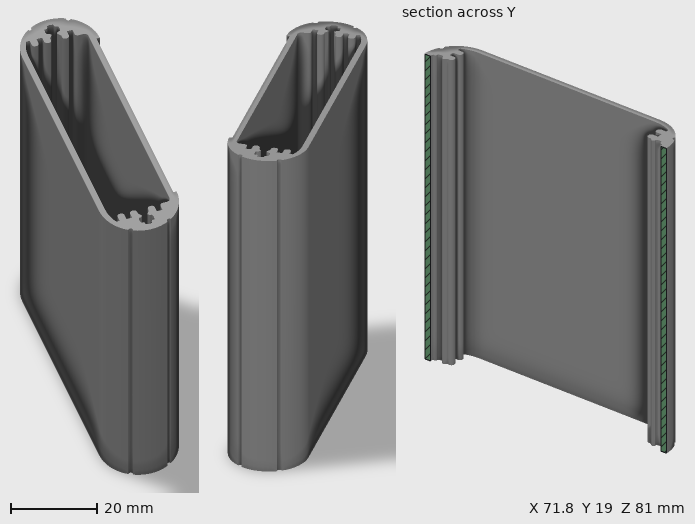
import cadquery as cq
import math

width = 71.8
depth = 19.0
length = 81.0
wall = 1.45
lid_recess = 0.8

outer_radius = depth / 2
arc_center_x = width / 2 - outer_radius
cavity_floor_y = wall - outer_radius
recess_floor_y = outer_radius - lid_recess
cavity_top_y = recess_floor_y - wall

rib_tip_x = 28.75
slot_floor_x = 30.9
slot_center_y = 3.7
slot_width = 1.4
rib_width = 1.7
rib_rounding = 0.7
cavity_corner_radius = 1.0
middle_rib_inner_y = slot_center_y - slot_width / 2 - rib_width

screw_x = 32.3
screw_core_radius = 1.4
screw_relief_radius = 1.8
relief_width = 1.6
mouth_throat_x = 30.95
mouth_throat_width = 1.4
mouth_flare_x = 30.05

groove_angle = math.radians(30)
groove_radius = 0.6

SIDES = (-1, 1)


def box(x_range, y_range):
    """Full-length block spanning two corners in plan; the corners may come in any order."""
    x_size = abs(x_range[1] - x_range[0])
    y_size = abs(y_range[1] - y_range[0])
    return (
        cq.Workplane("XY")
        .center(sum(x_range) / 2, sum(y_range) / 2)
        .rect(x_size, y_size)
        .extrude(length)
    )


def cylinder(center_x, center_y, radius):
    """Full-length round bar."""
    return cq.Workplane("XY").center(center_x, center_y).circle(radius).extrude(length)


def oblong():
    """Full-length solid oblong with the tube's outer size."""
    return cq.Workplane("XY").slot2D(width, depth).extrude(length)


def tip_selector(side):
    """Selector for the end face nearest the middle of the tube."""
    return "<X" if side > 0 else ">X"


def rib(side, low_y):
    """Guide rib with a rounded tip, rising from the slot floor."""
    block = box((side * rib_tip_x, side * slot_floor_x), (low_y, low_y + rib_width))
    return block.faces(tip_selector(side)).edges("|Z").fillet(rib_rounding)


def corner_pad(side):
    """Solid shoulder between the upper card slot and the recessed wall."""
    low_y = slot_center_y + slot_width / 2
    block = box((side * rib_tip_x, side * slot_floor_x), (low_y, outer_radius))
    return block.faces(tip_selector(side)).edges("|Z and <Y").fillet(rib_rounding)


def mouth_web(side):
    """Material joining the roots of the two middle ribs, where the screw channel opens."""
    x_range = (side * mouth_flare_x, side * slot_floor_x)
    return box(x_range, (-middle_rib_inner_y, middle_rib_inner_y))


def cavity():
    """Main hollow: its floor is the outer curve raised by the wall thickness."""
    hollow = oblong().translate((0, wall, 0)).intersect(
        box((-slot_floor_x, slot_floor_x), (cavity_floor_y, cavity_top_y))
    )
    rib_low_sides = (
        middle_rib_inner_y,
        -middle_rib_inner_y - rib_width,
        -slot_center_y - slot_width / 2 - rib_width,
    )
    for side in SIDES:
        hollow = hollow.cut(corner_pad(side))
        hollow = hollow.cut(mouth_web(side))
        for low_y in rib_low_sides:
            hollow = hollow.cut(rib(side, low_y))
    return hollow.faces(">Y").edges("|Z").fillet(cavity_corner_radius)


def screw_channel(side):
    """Round core with relief grooves on three sides and a flared mouth into the cavity."""
    center_x = side * screw_x
    relief_half = relief_width / 2
    throat_half = mouth_throat_width / 2

    rim = cylinder(center_x, 0, screw_relief_radius)
    outward = box((center_x, side * (screw_x + screw_relief_radius)), (-relief_half, relief_half))
    sideways = box(
        (center_x - relief_half, center_x + relief_half),
        (-screw_relief_radius, screw_relief_radius),
    )
    reliefs = rim.intersect(outward.union(sideways))

    core = cylinder(center_x, 0, screw_core_radius)
    mouth = (
        cq.Workplane("XY")
        .moveTo(center_x, -throat_half)
        .lineTo(side * mouth_throat_x, -throat_half)
        .lineTo(side * mouth_flare_x, -middle_rib_inner_y)
        .lineTo(side * mouth_flare_x, middle_rib_inner_y)
        .lineTo(side * mouth_throat_x, throat_half)
        .lineTo(center_x, throat_half)
        .close()
        .extrude(length)
    )
    return core.union(reliefs).union(mouth)


def outer_groove(side, y_side):
    """Half-round groove centered on the surface of a rounded end."""
    center_x = side * (arc_center_x + outer_radius * math.cos(groove_angle))
    center_y = y_side * outer_radius * math.sin(groove_angle)
    return cylinder(center_x, center_y, groove_radius)


result = oblong()
result = result.cut(box((-arc_center_x, arc_center_x), (recess_floor_y, outer_radius)))
result = result.cut(cavity())
for side in SIDES:
    result = result.cut(screw_channel(side))
    for y_side in SIDES:
        result = result.cut(outer_groove(side, y_side))